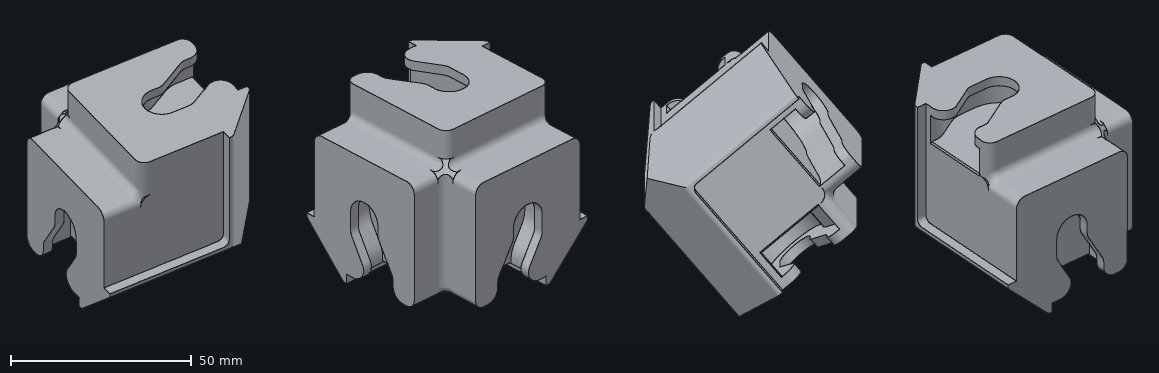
import cadquery as cq
import math

size = 55.0
rim = 3.0
arm_far = 43.0
arm_radius = 3.0
cove_radius = 2.85
plate_width = 16.0
plate_radius = 2.0
chamfer = 14.7
chamfer_radius = 1.65

slot_width = 11.0
slot_x = (rim + arm_far) / 2
slot_top_y = 23.55
bend_y = 18.55
slant = math.radians(30)
mouth_near = 22.75
mouth_far = 34.5
slot_radius = 4.0
lip = 3.0

pocket_margin = 4.7
pocket_depth = 11.8
pocket_radius = 8.8
edge = 0.41

cove_edge = arm_far + cove_radius
cove_start = rim + arm_radius
core = 38.5
margin = 0.55
touch = 0.05


def box(u0, v0, w0, u1, v1, w1):
    solid = cq.Workplane("XY").box(u1 - u0, v1 - v0, w1 - w0, centered=False)
    return solid.translate((u0, v0, w0))


def turned(solid, angle):
    return solid.rotate((0, 0, 0), (1, 1, 1), angle)


def on_all_axes(solid):
    """Copies of a solid made for the w axis, for the u, v and w axes."""
    return [turned(solid, 120), solid.mirror(cq.Vector(0, 1, -1)), solid]


def arm():
    return box(rim, rim, rim, arm_far, arm_far, size).edges("|Z").fillet(arm_radius)


def plate():
    recess = box(plate_width, plate_width, -margin, 2 * size, 2 * size, 2 * size)
    recess = recess.edges("|Z").fillet(plate_radius)
    return box(0, 0, 0, size, size, rim).cut(recess)


def envelope():
    """The cube with one edge chamfered and the chamfer's two edges rounded."""
    reach = chamfer + margin
    near_chamfer = cq.selectors.BoxSelector((-margin, -margin, -margin), (reach, reach, size + margin))
    block = box(0, 0, 0, size, size, size).edges("|Z and <X and <Y").chamfer(chamfer)
    return block.edges("|Z").edges(near_chamfer).fillet(chamfer_radius)


def bent_slot(widening, radius, depth):
    half = slot_width / 2 + widening
    near = slot_x - half
    far = slot_x + half
    mouth_start = mouth_near - widening
    mouth_end = mouth_far + widening

    def on_slanted_wall(side, x):
        wall_x = slot_x + side * half * math.cos(slant)
        wall_y = bend_y + side * half * math.sin(slant)
        return (x, wall_y - (x - wall_x) / math.tan(slant))

    bends = [
        on_slanted_wall(-1, near),
        on_slanted_wall(-1, mouth_start),
        on_slanted_wall(1, mouth_end),
        on_slanted_wall(1, far),
    ]
    start = (near, slot_top_y)
    outline = [start, *bends[:2], (mouth_start, 0), (mouth_end, 0), *bends[2:], (far, slot_top_y)]
    profile = cq.Workplane("XY").polyline(outline)
    solid = profile.threePointArc((slot_x, slot_top_y + half), start).close().extrude(depth)
    for x, y in bends:
        corner = cq.selectors.BoxSelector(
            (x - touch, y - touch, -margin), (x + touch, y + touch, depth + margin)
        )
        solid = solid.edges(corner).fillet(radius)
    return solid


def mouth_flare(wall_x, side):
    """What is cut away to round one lip corner at the mouth."""
    centre_x = wall_x + side * slot_radius
    centre_y = rim + slot_radius
    flare = box(min(wall_x, centre_x), rim, size - lip, max(wall_x, centre_x), centre_y, size)
    return flare.cut(cq.Workplane("XY").center(centre_x, centre_y).circle(slot_radius).extrude(2 * size))


def floor_bevel():
    floor = size - pocket_depth
    start = mouth_near - pocket_margin
    length = mouth_far - mouth_near + 2 * pocket_margin
    profile = [(0, floor), (rim + edge, floor), (rim, floor - edge), (0, floor - edge)]
    return cq.Workplane("YZ").polyline(profile).close().extrude(length).translate((start, 0, 0))


def slot():
    opening = bent_slot(0, slot_radius, lip).translate((0, 0, size - lip))
    pocket = bent_slot(pocket_margin, pocket_radius, pocket_depth - lip)
    cutter = opening.union(pocket.translate((0, 0, size - pocket_depth)))
    cutter = cutter.union(mouth_flare(mouth_near, -1)).union(mouth_flare(mouth_far, 1))
    return cutter.union(floor_bevel())


def straight_coves():
    """The three coves, joined by a flat facet where they meet."""
    fill = box(core, core, core, cove_edge, cove_edge, cove_edge)
    for bar in on_all_axes(box(core, core, cove_start, cove_edge, cove_edge, core)):
        fill = fill.union(bar)
    hollow = cq.Workplane("XY").center(cove_edge, cove_edge).circle(cove_radius).extrude(arm_far)
    for cylinder in on_all_axes(hollow):
        fill = fill.cut(cylinder)
    rounded_edge = arm_far - arm_radius * (1 - math.sqrt(0.5))
    facet = (cove_edge + 2 * rounded_edge) / 3
    facet_plane = cq.Plane((facet, facet, facet), (1, -1, 0), (1, 1, 1))
    beyond_facet = cq.Workplane(facet_plane).rect(4 * size, 4 * size).extrude(2 * size)
    return fill.cut(beyond_facet)


def cove_end(first_arm, second_arm):
    """The end of a cove, where it fades out around the rounded arm edges."""
    low = arm_far - arm_radius - touch
    high = arm_far + margin
    seam = cq.selectors.BoxSelector((0, low, low), (size, high, high), boundingbox=True)
    pair = first_arm.union(second_arm).edges(seam).fillet(cove_radius)
    inner = low - cove_radius
    outer = cove_edge + margin
    return pair.intersect(box(0, inner, inner, cove_start, outer, outer))


u_arm, v_arm, w_arm = on_all_axes(arm())
result = u_arm.union(v_arm).union(w_arm)
for side_plate in on_all_axes(plate()):
    result = result.union(side_plate)

result = result.union(straight_coves())
fading_end = cove_end(v_arm, w_arm)
for angle in (0, 120, 240):
    result = result.union(turned(fading_end, angle))

for chamfered_cube in on_all_axes(envelope()):
    result = result.intersect(chamfered_cube)
for cutter in on_all_axes(slot()):
    result = result.cut(cutter)

result = result.rotate((0, 0, 0), (0, 0, 1), 180)